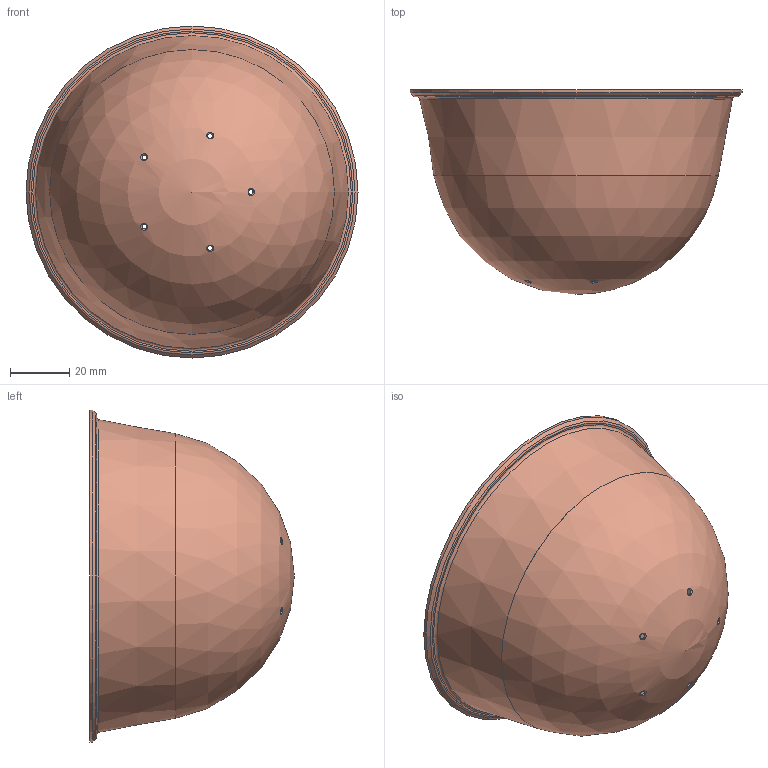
import cadquery as cq
import math

rim_radius = 56.0
rim_edge_height = 1.0
rim_thickness = 2.3
rim_chamfer = rim_thickness - rim_edge_height
rim_fillet = 1.0

depth = 69.0
skirt_length = 29.0
skirt_end_radius = 48.0
wall = 0.4
dome_height = depth - skirt_length
dome_radius = (skirt_end_radius**2 + dome_height**2) / (2 * dome_height)
dome_center_y = dome_radius - depth
taper = math.asin((dome_radius - dome_height) / dome_radius)

hole_count = 5
hole_circle_radius = 20.0
hole_outer_diameter = 2.4
hole_inner_diameter = 1.7
hole_tilt = math.asin(hole_circle_radius / dome_radius)
hole_overshoot = 0.4


def make_cup_form(sphere_radius):
    """Solid skirt and dome about the Y axis, for a dome of the given radius."""
    tangent_radius = sphere_radius * math.cos(taper)
    tangent_y = dome_center_y - sphere_radius * math.sin(taper)
    mouth_radius = tangent_radius - tangent_y * math.tan(taper)
    arc_middle = sphere_radius * math.sqrt(0.5)
    profile = (
        cq.Workplane("XY")
        .lineTo(mouth_radius, 0)
        .lineTo(tangent_radius, tangent_y)
        .threePointArc((arc_middle, dome_center_y - arc_middle), (0, dome_center_y - sphere_radius))
        .close()
    )
    return profile.revolve(360, (0, 0, 0), (0, 1, 0))


def make_rim():
    """Flange disc with a 45 degree chamfer on its dome side."""
    profile = (
        cq.Workplane("XY")
        .lineTo(rim_radius, 0)
        .lineTo(rim_radius, -rim_edge_height)
        .lineTo(rim_radius - rim_chamfer, -rim_thickness)
        .lineTo(0, -rim_thickness)
        .close()
    )
    return profile.revolve(360, (0, 0, 0), (0, 1, 0))


def round_rim_shoulder(body):
    """Fillet both circular edges of the flange face that meets the skirt."""
    flat_faces = body.faces("|Y")
    shoulder = flat_faces.filter(lambda face: math.isclose(face.Center().y, -rim_thickness))
    return shoulder.edges("%CIRCLE").fillet(rim_fillet)


def make_vent_hole(angle):
    """Conical cutter square to the dome surface, at the given angle about the Y axis."""
    inward = cq.Vector(
        -math.sin(hole_tilt) * math.cos(angle),
        math.cos(hole_tilt),
        -math.sin(hole_tilt) * math.sin(angle),
    )
    start = cq.Vector(0, dome_center_y, 0) - inward * (dome_radius + hole_overshoot)
    narrowing = (hole_outer_diameter - hole_inner_diameter) / (2 * wall)
    start_radius = hole_outer_diameter / 2 + narrowing * hole_overshoot
    end_radius = hole_inner_diameter / 2 - narrowing * hole_overshoot
    return cq.Solid.makeCone(start_radius, end_radius, wall + 2 * hole_overshoot, start, inward)


outer_form = make_cup_form(dome_radius).union(make_rim())
result = round_rim_shoulder(outer_form).cut(make_cup_form(dome_radius - wall))
for index in range(hole_count):
    result = result.cut(cq.Workplane(obj=make_vent_hole(2 * math.pi * index / hole_count)))